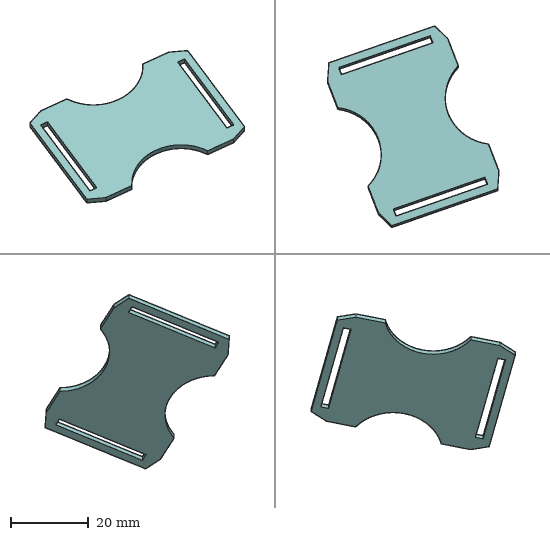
import cadquery as cq

width = 33.0
length = 47.0
thickness = 1.6

corner_inset_x = 2.0
corner_inset_y = 4.5

slot_length = 25.0
slot_width = 2.0
slot_end_margin = 2.1

waist_width = 19.2
relief_chord = 22.6

half_width = width / 2
half_length = length / 2


def tapered_plate():
    """Rectangular plate with its four corners cut at a steep angle."""
    inner_x = half_width - corner_inset_x
    inner_y = half_length - corner_inset_y
    outline = [
        (-inner_x, -half_length),
        (inner_x, -half_length),
        (half_width, -inner_y),
        (half_width, inner_y),
        (inner_x, half_length),
        (-inner_x, half_length),
        (-half_width, inner_y),
        (-half_width, -inner_y),
    ]
    return cq.Workplane("XY").polyline(outline).close().extrude(thickness)


def side_reliefs():
    """Cylinders that scoop a circular arc out of each long side."""
    depth = (width - waist_width) / 2
    radius = ((relief_chord / 2) ** 2 + depth**2) / (2 * depth)
    center_x = waist_width / 2 + radius
    centers = [(-center_x, 0), (center_x, 0)]
    return cq.Workplane("XY").pushPoints(centers).circle(radius).extrude(thickness)


def strap_slots():
    """Rectangular through slots parallel to the short ends."""
    center_y = half_length - slot_end_margin - slot_width / 2
    centers = [(0, -center_y), (0, center_y)]
    return cq.Workplane("XY").pushPoints(centers).rect(slot_length, slot_width).extrude(thickness)


result = tapered_plate().cut(side_reliefs()).cut(strap_slots())